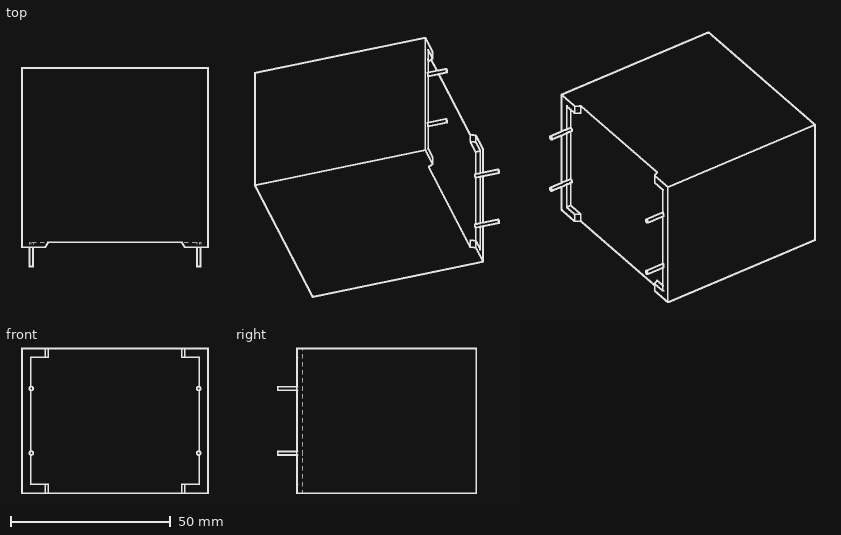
import cadquery as cq

total_depth = 62.3
width = 58.3
height = 45.5

rim_height = 1.6
rim_thickness = 2.8
foot_tip_length = 7.3
foot_root_length = 8.3

pin_diameter = 1.2
pin_length = 6.05
pin_pitch_x = 52.45
pin_pitch_z = 20.25

rim_y = pin_length - total_depth / 2
floor_y = rim_y + rim_height
back_y = total_depth / 2


def make_rim_gap():
    """Flared gap between the feet, open through the full height."""
    half_tip = width / 2 - foot_tip_length
    half_root = width / 2 - foot_root_length
    return (
        cq.Workplane("XY")
        .polyline([(-half_tip, rim_y), (half_tip, rim_y), (half_root, floor_y), (-half_root, floor_y)])
        .close()
        .extrude(height / 2, both=True)
    )


def make_rim_recess():
    """Rectangular recess inside the rim."""
    return cq.Workplane("XY").box(
        width - 2 * rim_thickness, rim_height, height - 2 * rim_thickness
    ).translate((0, rim_y + rim_height / 2, 0))


def make_pin(x, z):
    """Round pin standing on the recess floor, half sunk into the side rim."""
    return (
        cq.Workplane("XZ", origin=(x, floor_y, z))
        .circle(pin_diameter / 2)
        .extrude(rim_height + pin_length)
    )


def make_housing():
    """Capacitor block with a stand-off rim, before the pin grooves."""
    block = cq.Workplane("XY").box(width, back_y - rim_y, height)
    block = block.translate((0, (back_y + rim_y) / 2, 0))
    return block.cut(make_rim_gap()).cut(make_rim_recess())


housing = make_housing()
fixed_pin_place = (pin_pitch_x / 2, -pin_pitch_z / 2)

pins = []
for side_x in (-1, 1):
    for side_z in (-1, 1):
        place = (side_x * pin_pitch_x / 2, side_z * pin_pitch_z / 2)
        pin = make_pin(*place)
        if place == fixed_pin_place:
            housing = housing.union(pin)
        else:
            housing = housing.cut(pin)
            pins.append(pin)

result = cq.Compound.makeCompound([housing.val(), *[pin.val() for pin in pins]])